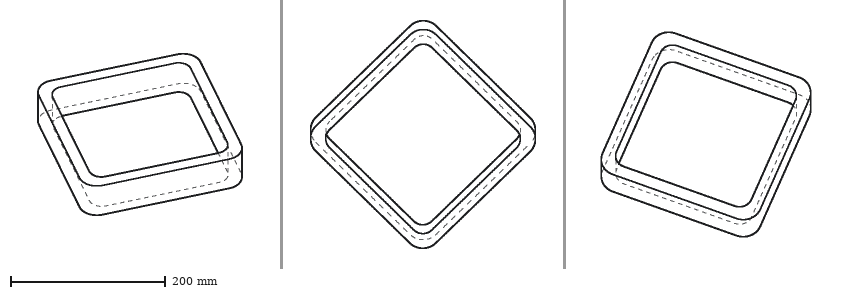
import cadquery as cq

outer_side = 220.0
height = 50.0
wall = 16.0
outer_radius = 23.8
inner_radius = 16.5

inner_side = outer_side - 2 * wall


def rounded_square_block(side, corner_radius):
    """Square block standing on the XY plane with rounded vertical edges."""
    block = cq.Workplane("XY").rect(side, side).extrude(height)
    return block.edges("|Z").fillet(corner_radius)


outer_block = rounded_square_block(outer_side, outer_radius)
opening = rounded_square_block(inner_side, inner_radius)

result = outer_block.cut(opening)